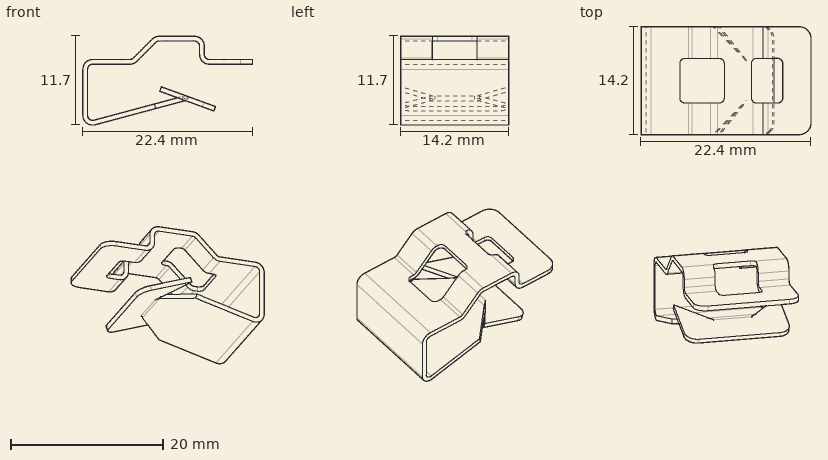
import cadquery as cq
import math

thickness = 0.65
half_thickness = thickness / 2
bend_radius = 1.5 * thickness
clip_width = 14.23
half_width = clip_width / 2

clip_length = 22.35
clip_height = 11.71
step_height = 3.05
ramp_angle = 45.0
ramp_foot_x = 6.6
front_wall_x = 16.0

leg_angle = 15.0
tail_angle = 20.0
taper_start = 9.5
fold_distance = 13.65
neck_half_width = 2.6
taper_slope = 1.0
tail_wing_reach = 3.5
tail_end_reach = 4.1
tail_corner_radius = 1.6

opening_width = 5.85
opening_corner_radius = 0.65
window_start_x = 5.07
window_end_x = 10.92
slot_start_x = 14.5
slot_end_x = 18.6
flange_corner_radius = 1.6


def along(point, angle, distance):
    """Point in the XZ plane reached from `point` at `angle` degrees."""
    turn = math.radians(angle)
    return (point[0] + distance * math.cos(turn), point[1] + distance * math.sin(turn))


def heading(start, end):
    """Angle in degrees of the line from `start` to `end`."""
    return math.degrees(math.atan2(end[1] - start[1], end[0] - start[0]))


def bend_side(before, corner, after, side):
    """Start, middle and end of the arc that rounds a bend on one side (+1 left, -1 right) of the sheet."""
    heading_in = heading(before, corner)
    turn = (heading(corner, after) - heading_in + 180) % 360 - 180
    direction = math.copysign(1, turn)
    setback = bend_radius * math.tan(math.radians(abs(turn) / 2))
    tangent = along(corner, heading_in, -setback)
    center = along(tangent, heading_in + 90 * direction, bend_radius)
    radius = bend_radius - direction * side * half_thickness
    start_angle = heading_in - 90 * direction
    return [along(center, start_angle + turn * part, radius) for part in (0, 0.5, 1)]


def end_side(start, end, point, side):
    """Corner of the sheet at `point` on the run from `start` to `end`, on its left (+1) or right (-1)."""
    return along(point, heading(start, end) + 90 * side, half_thickness)


def bent_strip(path, width):
    """Sheet of even thickness bent along a path of middle-surface corners, centred on Y = 0."""
    bends = list(zip(path, path[1:], path[2:]))
    outline = cq.Workplane("XZ").moveTo(*end_side(path[0], path[1], path[0], 1))
    for before, corner, after in bends:
        start, middle, end = bend_side(before, corner, after, 1)
        outline = outline.lineTo(*start).threePointArc(middle, end)
    outline = outline.lineTo(*end_side(path[-2], path[-1], path[-1], 1))
    outline = outline.lineTo(*end_side(path[-2], path[-1], path[-1], -1))
    for before, corner, after in reversed(bends):
        start, middle, end = bend_side(before, corner, after, -1)
        outline = outline.lineTo(*end).threePointArc(middle, start)
    outline = outline.lineTo(*end_side(path[0], path[1], path[0], -1))
    return outline.close().extrude(width / 2, both=True)


def sloped_plate(origin, angle, half_outline):
    """Flat plate through `origin`, sloped at `angle`; the (distance, half width) points are mirrored in Y."""
    slope = math.radians(angle)
    plane = cq.Plane(
        origin=(origin[0], 0, origin[1]),
        xDir=(math.cos(slope), 0, math.sin(slope)),
        normal=(-math.sin(slope), 0, math.cos(slope)),
    )
    mirrored = [(distance, -offset) for distance, offset in reversed(half_outline)]
    outline = cq.Workplane(plane).polyline(half_outline + mirrored).close()
    return outline.extrude(half_thickness, both=True)


shelf_z = clip_height - half_thickness
flange_z = shelf_z - step_height
front_wall_mid_x = front_wall_x - half_thickness
ramp_top_x = ramp_foot_x + step_height / math.tan(math.radians(ramp_angle))
back_wall_mid_x = half_thickness
back_bend_outer_radius = bend_radius + half_thickness
back_bend_setback = bend_radius * math.tan(math.radians((90 + leg_angle) / 2))
leg_corner = (back_wall_mid_x, back_bend_outer_radius - back_bend_setback)
taper_point = along(leg_corner, leg_angle, taper_start)
fold_corner = along(leg_corner, leg_angle, fold_distance)
fold_setback = bend_radius * math.tan(math.radians((leg_angle + tail_angle) / 2))
fold_start = along(fold_corner, leg_angle, -fold_setback)
fold_end = along(fold_corner, -tail_angle, fold_setback)
taper_length = fold_distance - fold_setback - taper_start
fold_start_half_width = half_width - taper_slope * taper_length


def make_body():
    """Full-width sheet from the flange, over the shelf and down the back wall to the leg."""
    return bent_strip(
        [
            (clip_length, flange_z),
            (front_wall_mid_x, flange_z),
            (front_wall_mid_x, shelf_z),
            (ramp_top_x, shelf_z),
            (ramp_foot_x, flange_z),
            (back_wall_mid_x, flange_z),
            leg_corner,
            taper_point,
        ],
        clip_width,
    )


def round_flange_corners(body):
    return body.faces(">X").edges("|Z").fillet(flange_corner_radius)


def make_opening(start_x, end_x):
    """Cutter that passes through the upper sheet only."""
    opening = cq.Workplane("XY", origin=((start_x + end_x) / 2, 0, flange_z - thickness))
    opening = opening.rect(end_x - start_x, opening_width).extrude(clip_height)
    return opening.edges("|Z").fillet(opening_corner_radius)


def make_leg_taper():
    """Outer part of the leg, narrowing evenly towards the fold."""
    return sloped_plate(
        taper_point, leg_angle, [(0, half_width), (taper_length, fold_start_half_width)]
    )


def make_neck():
    """Narrowing fold between leg and tail, running a little way into both plates."""
    overlap = thickness
    neck_start = along(fold_start, leg_angle, -overlap)
    neck_end = along(fold_end, -tail_angle, overlap)
    strip = bent_strip([neck_start, fold_corner, neck_end], clip_width)
    half_plan = [
        (fold_start[0] - overlap, fold_start_half_width),
        (fold_start[0], fold_start_half_width),
        (fold_end[0], neck_half_width),
        (fold_end[0] + overlap, neck_half_width),
    ]
    mirrored = [(x, -y) for x, y in reversed(half_plan)]
    plan = cq.Workplane("XY").polyline(half_plan + mirrored).close()
    return strip.intersect(plan.extrude(clip_height))


def make_tail():
    """Plate beyond the fold, with two wings that sweep back over the tapered leg."""
    tail = sloped_plate(
        fold_corner,
        -tail_angle,
        [
            (fold_setback, neck_half_width),
            (-tail_wing_reach, half_width),
            (tail_end_reach, half_width),
        ],
    )
    end_corners = tail.faces(">X").edges("not |Y")
    return end_corners.fillet(tail_corner_radius)


body = round_flange_corners(make_body())
body = body.cut(make_opening(window_start_x, window_end_x))
body = body.cut(make_opening(slot_start_x, slot_end_x))
result = body.union(make_leg_taper()).union(make_neck()).union(make_tail())